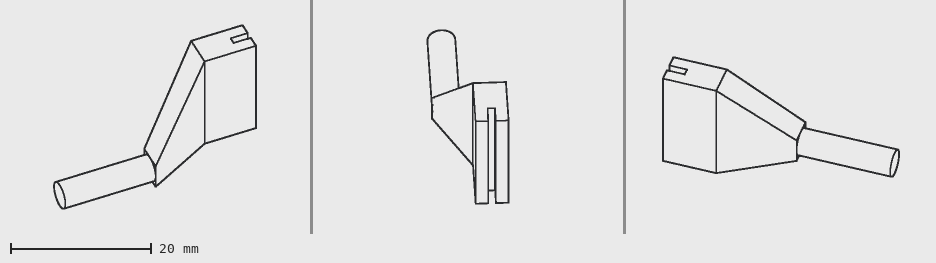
import cadquery as cq

total_length = 32.0
height = 16.0
total_width = 10.05

block_length = 8.0
block_width = 4.7

neck_length = 10.0

shank_diameter = 4.0
shank_length = total_length - block_length - neck_length
shank_left = total_width - shank_diameter

slot_width = 1.05
slot_depth = 2.65
slot_left = (block_width - slot_width) / 2

neck_back = shank_length + neck_length


def make_block():
    """Rectangular block cut by a full-height slot open at the back."""
    block = cq.Workplane("XY").box(block_width, block_length, height, centered=False)
    slot = (
        cq.Workplane("XY")
        .box(slot_width, slot_depth, height, centered=False)
        .translate((slot_left, block_length - slot_depth, 0))
    )
    return block.cut(slot).translate((0, neck_back, 0))


def end_section(left, width, section_height, y):
    """Rectangular neck section standing on Z = 0, normal to Y."""
    right = left + width
    corners = [(left, 0), (right, 0), (right, section_height), (left, section_height)]
    return cq.Wire.makePolygon([cq.Vector(x, y, z) for x, z in corners], close=True)


def make_neck():
    """Straight-sided taper from the square shank end to the full block face."""
    shank_end = end_section(shank_left, shank_diameter, shank_diameter, shank_length)
    block_end = end_section(0, block_width, height, neck_back)
    return cq.Workplane(obj=cq.Solid.makeLoft([shank_end, block_end], True))


def make_shank():
    """Cylinder along Y, tangent to the sides of the neck's square end."""
    radius = shank_diameter / 2
    return cq.Workplane(
        obj=cq.Solid.makeCylinder(
            radius,
            shank_length,
            cq.Vector(shank_left + radius, 0, radius),
            cq.Vector(0, 1, 0),
        )
    )


result = make_block().union(make_neck()).union(make_shank())